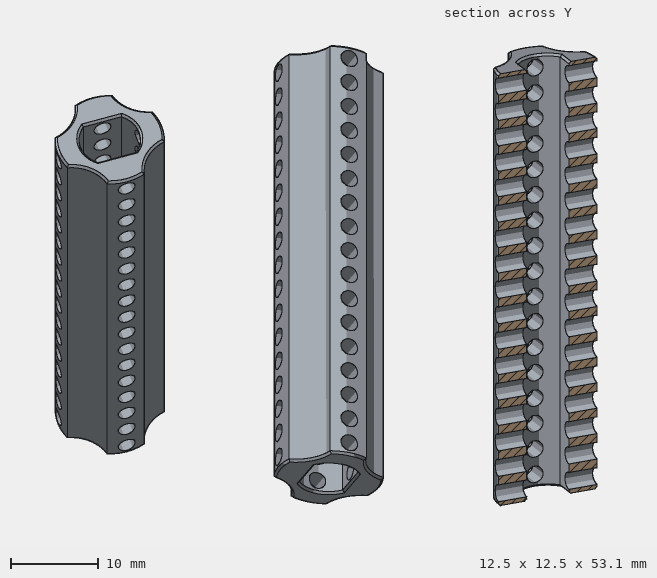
import cadquery as cq
import math

length = 53.1
outer_diameter = 12.5

lobe_width = 4.45
groove_depth = 1.3

bore_diameter = 7.0
bore_width = 5.3

cross_hole_diameter = 2.0
holes_per_row = 17
hole_pitch = length / holes_per_row

edge_chamfer = 0.25

outer_radius = outer_diameter / 2
lobe_half_width = lobe_width / 2
lobe_corner = math.sqrt(outer_radius**2 - lobe_half_width**2)


def turned(point, angle):
    """Turn a point about the part axis by an angle in degrees."""
    x, y = point
    cosine = math.cos(math.radians(angle))
    sine = math.sin(math.radians(angle))
    return (x * cosine - y * sine, x * sine + y * cosine)


def make_body():
    """Four-lobed bar: each quarter is one lobe arc followed by one groove arc."""
    lobe_start = (lobe_corner, -lobe_half_width)
    lobe_middle = (outer_radius, 0)
    lobe_end = (lobe_corner, lobe_half_width)
    groove_bottom = turned((outer_radius - groove_depth, 0), 45)

    outline = cq.Workplane("XY").moveTo(*lobe_start)
    for angle in (0, 90, 180, 270):
        outline = outline.threePointArc(turned(lobe_middle, angle), turned(lobe_end, angle))
        outline = outline.threePointArc(turned(groove_bottom, angle), turned(lobe_start, angle + 90))
    body = outline.close().extrude(length)
    return body.faces("<Z or >Z").edges().chamfer(edge_chamfer)


def make_bore():
    """Tool for the flattened bore."""
    cylinder = cq.Workplane("XY").circle(bore_diameter / 2).extrude(length)
    slab = cq.Workplane("XY").rect(bore_width, bore_diameter).extrude(length)
    return cylinder.intersect(slab)


def chamfer_bore_rims(part):
    """Chamfer the inner wire of both end faces."""
    rims = []
    for end in ("<Z", ">Z"):
        rims.extend(part.faces(end).val().innerWires()[0].Edges())
    return part.newObject(rims).chamfer(edge_chamfer)


def make_hole_row(plane):
    """Row of holes passing through the whole part along the plane's normal."""
    first_height = hole_pitch / 2
    centres = [(0, first_height + index * hole_pitch) for index in range(holes_per_row)]
    row = cq.Workplane(plane).pushPoints(centres).circle(cross_hole_diameter / 2)
    return row.extrude(outer_radius, both=True)


result = make_body().cut(make_bore())
result = chamfer_bore_rims(result)
for plane in ("XZ", "YZ"):
    result = result.cut(make_hole_row(plane))